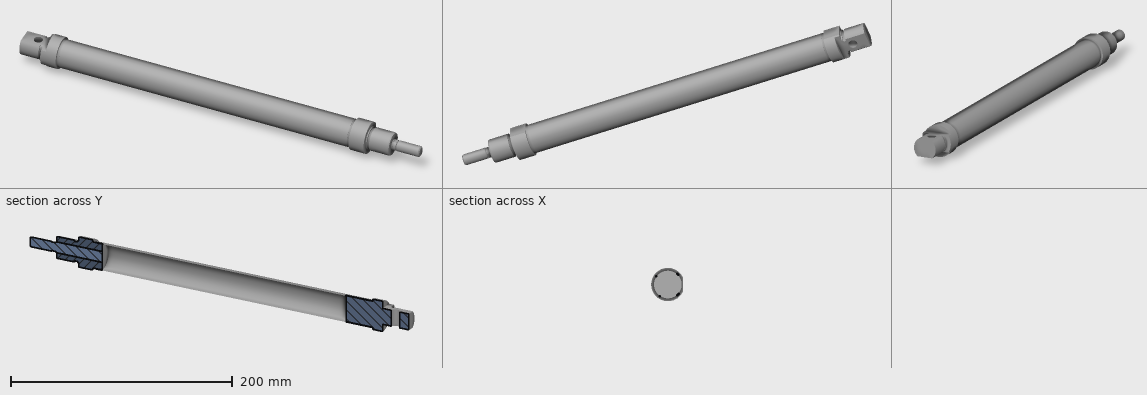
import cadquery as cq

TOTAL_LENGTH = 390.0
COVER_DIAMETER = 30.0
COVER_FLAT_DEPTH = 1.52
COVER_FLAT_Y = COVER_DIAMETER / 2 - COVER_FLAT_DEPTH
NECK_LENGTH = 2.5
RING_LENGTH = 1.0
RELIEF_LENGTH = 2.5
RELIEF_DEPTH = 1.0

BARREL_START = 39.8
BARREL_END = 323.0
BARREL_DIAMETER = 26.5
BARREL_WALL = 0.8
BORE_DIAMETER = BARREL_DIAMETER - 2 * BARREL_WALL
NECK_DIAMETER = 26.0

BOSS_DIAMETER = 22.0
TONGUE_THICKNESS = 16.0
TONGUE_FLAT_END = 27.0
PIN_HOLE_DIAMETER = 8.0
PIN_HOLE_X = 14.0
CAP_SPIGOT_LENGTH = 25.5
CAP_END = BARREL_START - NECK_LENGTH
CAP_START = 22.2
CAP_RING_START = CAP_START - RING_LENGTH
CAP_RELIEF_START = CAP_RING_START - RELIEF_LENGTH

HEAD_START = BARREL_END + NECK_LENGTH
HEAD_END = 340.0
HEAD_RING_END = HEAD_END + RING_LENGTH
HEAD_RELIEF_END = HEAD_RING_END + RELIEF_LENGTH
COLLAR_END = 362.7
COLLAR_CHAMFER_DEPTH = 0.5
COLLAR_CHAMFER_LENGTH = 1.0
HEAD_SPIGOT_LENGTH = 7.5
HEAD_SPIGOT_END = BARREL_END - HEAD_SPIGOT_LENGTH

ROD_DIAMETER = 10.0
ROD_NECK_START = 364.0
ROD_NECK_DIAMETER = 9.8
WRENCH_FLATS_WIDTH = 9.0
THREAD_START = 367.0
THREAD_CHAMFER = 0.98


def cylinder(start, end, diameter):
    """Solid cylinder on the X axis between two stations."""
    return cq.Workplane("YZ", origin=(start, 0, 0)).circle(diameter / 2).extrude(end - start)


def cover(start, end):
    """Round cover with one flat on its +Y side."""
    length = end - start
    beyond_flat = (
        cq.Workplane("XY")
        .box(length, COVER_DIAMETER, COVER_DIAMETER, centered=(False, False, True))
        .translate((start, COVER_FLAT_Y, 0))
    )
    return cylinder(start, end, COVER_DIAMETER).cut(beyond_flat)


def cut_parallel_flats(body, start, end, thickness):
    """Mill the body between two stations to a thickness along Z, centred on the axis."""
    for side in (1, -1):
        waste = (
            cq.Workplane("XY")
            .box(end - start, COVER_DIAMETER, COVER_DIAMETER, centered=(False, True, True))
            .translate((start, 0, side * (thickness + COVER_DIAMETER) / 2))
        )
        body = body.cut(waste)
    return body


def make_barrel():
    bore = cylinder(BARREL_START, BARREL_END, BORE_DIAMETER)
    return cylinder(BARREL_START, BARREL_END, BARREL_DIAMETER).cut(bore)


def make_end_cap():
    relief_diameter = BOSS_DIAMETER - 2 * RELIEF_DEPTH
    body = (
        cylinder(0, CAP_RELIEF_START, BOSS_DIAMETER)
        .union(cylinder(CAP_RELIEF_START, CAP_RING_START, relief_diameter))
        .union(cylinder(CAP_RING_START, CAP_START, BOSS_DIAMETER))
        .union(cover(CAP_START, CAP_END))
        .union(cylinder(CAP_END, BARREL_START, NECK_DIAMETER))
        .union(cylinder(BARREL_START, BARREL_START + CAP_SPIGOT_LENGTH, BORE_DIAMETER))
    )
    body = cut_parallel_flats(body, 0, TONGUE_FLAT_END, TONGUE_THICKNESS)
    pin_hole = (
        cq.Workplane("XY")
        .center(PIN_HOLE_X, 0)
        .circle(PIN_HOLE_DIAMETER / 2)
        .extrude(TONGUE_THICKNESS / 2, both=True)
    )
    return body.cut(pin_hole)


def make_head():
    relief_diameter = BOSS_DIAMETER - 2 * RELIEF_DEPTH
    collar = (
        cylinder(HEAD_RELIEF_END, COLLAR_END, BOSS_DIAMETER)
        .faces(">X")
        .chamfer(COLLAR_CHAMFER_LENGTH, COLLAR_CHAMFER_DEPTH)
    )
    rod_hole = cylinder(HEAD_SPIGOT_END, COLLAR_END, ROD_DIAMETER)
    return (
        cylinder(HEAD_SPIGOT_END, BARREL_END, BORE_DIAMETER)
        .union(cylinder(BARREL_END, HEAD_START, NECK_DIAMETER))
        .union(cover(HEAD_START, HEAD_END))
        .union(cylinder(HEAD_END, HEAD_RING_END, BOSS_DIAMETER))
        .union(cylinder(HEAD_RING_END, HEAD_RELIEF_END, relief_diameter))
        .union(collar)
        .cut(rod_hole)
    )


def make_piston_rod():
    thread = cylinder(THREAD_START, TOTAL_LENGTH, ROD_DIAMETER).faces("<X or >X").chamfer(THREAD_CHAMFER)
    neck = cylinder(ROD_NECK_START, THREAD_START, ROD_NECK_DIAMETER)
    neck = cut_parallel_flats(neck, ROD_NECK_START, THREAD_START, WRENCH_FLATS_WIDTH)
    return cylinder(HEAD_SPIGOT_END, ROD_NECK_START, ROD_DIAMETER).union(neck).union(thread)


barrel = make_barrel()
end_cap = make_end_cap()
head = make_head()
piston_rod = make_piston_rod()

result = cq.Compound.makeCompound([barrel.val(), end_cap.val(), head.val(), piston_rod.val()])